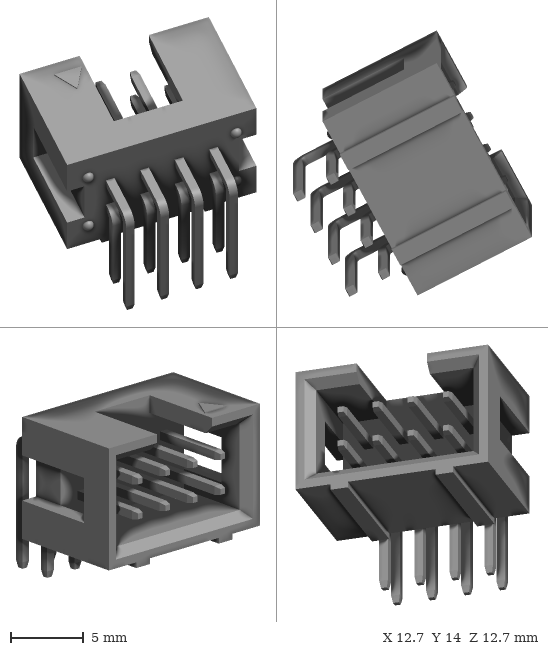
import cadquery as cq
import math


housing_length = 8.87
housing_width = 13.97
housing_height = 8.87
mid_height = housing_height / 2
wall = 1.29
cavity_depth = 6.37
lip_chamfer = 0.64
cavity_width = housing_width - 2 * wall
cavity_height = housing_height - 2 * wall

key_width = 5.1
side_slot_start = 2.53
side_slot_height = 3.28

foot_width = 1.26
foot_height = 0.42
nub_radius = 0.4
nub_offset_y = 5.46
mark_side = 2.03
mark_start = 1.0
mark_thickness = 0.1

pitch = 2.54
pins_per_row = 4
pin_size = 0.63
tip_size = 0.42
tip_length = 0.52
pin_front = 0.28
pin_bottom = -3.7
bend_outer_radius = 0.91
bend_inner_radius = bend_outer_radius - pin_size
long_leg_x = 12.65 - pin_size / 2
short_leg_x = long_leg_x - pitch

pin_columns = [(i - (pins_per_row - 1) / 2) * pitch for i in range(pins_per_row)]
pin_rows = [
    (mid_height + pitch / 2, long_leg_x),
    (mid_height - pitch / 2, short_leg_x),
]


def block(x_range, y_range, z_range):
    """Box spanning the given (low, high) ranges."""
    (x0, x1), (y0, y1), (z0, z1) = x_range, y_range, z_range
    return cq.Workplane("XY").box(x1 - x0, y1 - y0, z1 - z0, centered=False).translate((x0, y0, z0))


def make_cavity():
    """Mating cavity with a sloped lead-in all round its mouth."""
    straight = block(
        (0, cavity_depth),
        (-cavity_width / 2, cavity_width / 2),
        (wall, housing_height - wall),
    )
    lead_in = (
        cq.Workplane("YZ", origin=(0, 0, mid_height))
        .rect(cavity_width + 2 * lip_chamfer, cavity_height + 2 * lip_chamfer)
        .workplane(offset=lip_chamfer)
        .rect(cavity_width, cavity_height)
        .loft(ruled=True)
    )
    return straight.union(lead_in)


def make_key_slot():
    """Keying slot through the top wall, open at the mating face and down into the cavity."""
    return block(
        (0, cavity_depth),
        (-key_width / 2, key_width / 2),
        (mid_height, housing_height),
    )


def make_side_slot(y_low):
    """Slot through one side wall, running out of the back of the housing."""
    return block(
        (side_slot_start, housing_length),
        (y_low, y_low + wall),
        (mid_height - side_slot_height / 2, mid_height + side_slot_height / 2),
    )


def make_foot(y_center):
    """Standoff rail along the underside."""
    return block(
        (0, housing_length),
        (y_center - foot_width / 2, y_center + foot_width / 2),
        (-foot_height, 0),
    )


def make_nub(y_center, z_center):
    """Ball sunk halfway into the back face, leaving a dome."""
    return cq.Workplane("XY").sphere(nub_radius).translate((housing_length, y_center, z_center))


def make_pin_one_mark():
    """Raised equilateral triangle next to the first pin, pointing away from the mating face."""
    tip_x = mark_start + mark_side * math.sqrt(3) / 2
    y_center = pin_columns[0]
    return (
        cq.Workplane("XY", origin=(0, 0, housing_height))
        .moveTo(mark_start, y_center - mark_side / 2)
        .lineTo(tip_x, y_center)
        .lineTo(mark_start, y_center + mark_side / 2)
        .close()
        .extrude(mark_thickness)
    )


def make_pin_hole(y_center, z_center):
    """Square hole through the housing back wall that a pin fills."""
    return block(
        (cavity_depth, housing_length),
        (y_center - pin_size / 2, y_center + pin_size / 2),
        (z_center - pin_size / 2, z_center + pin_size / 2),
    )


def make_housing():
    body = block(
        (0, housing_length),
        (-housing_width / 2, housing_width / 2),
        (0, housing_height),
    )
    body = body.cut(make_cavity()).cut(make_key_slot())
    for y_low in (-housing_width / 2, housing_width / 2 - wall):
        body = body.cut(make_side_slot(y_low))
    for y_center in (pin_columns[0], pin_columns[-1]):
        body = body.union(make_foot(y_center))
    for y_center in (-nub_offset_y, nub_offset_y):
        for z_center in (mid_height - pitch, mid_height + pitch):
            body = body.union(make_nub(y_center, z_center))
    body = body.union(make_pin_one_mark())
    for row_z, _ in pin_rows:
        for y_center in pin_columns:
            body = body.cut(make_pin_hole(y_center, row_z))
    return body


def make_pin_tip(base_plane):
    """Tapered tip growing from a square pin end."""
    return (
        cq.Workplane(base_plane)
        .rect(pin_size, pin_size)
        .workplane(offset=tip_length)
        .rect(tip_size, tip_size)
        .loft(ruled=True)
    )


def make_pin(y_center, row_z, leg_x):
    """Square pin running back along X, then bent down into a leg, with both ends tapered."""
    half = pin_size / 2
    front_x = pin_front + tip_length
    leg_end_z = pin_bottom + tip_length
    bend_x = leg_x + half - bend_outer_radius
    bend_z = row_z + half - bend_outer_radius
    diagonal = math.sqrt(0.5)
    bar = (
        cq.Workplane("XZ", origin=(0, y_center + half, 0))
        .moveTo(front_x, row_z + half)
        .lineTo(bend_x, row_z + half)
        .threePointArc(
            (bend_x + bend_outer_radius * diagonal, bend_z + bend_outer_radius * diagonal),
            (leg_x + half, bend_z),
        )
        .lineTo(leg_x + half, leg_end_z)
        .lineTo(leg_x - half, leg_end_z)
        .lineTo(leg_x - half, bend_z)
        .threePointArc(
            (bend_x + bend_inner_radius * diagonal, bend_z + bend_inner_radius * diagonal),
            (bend_x, row_z - half),
        )
        .lineTo(front_x, row_z - half)
        .close()
        .extrude(pin_size)
    )
    front_plane = cq.Plane(origin=(front_x, y_center, row_z), xDir=(0, 1, 0), normal=(-1, 0, 0))
    leg_plane = cq.Plane(origin=(leg_x, y_center, leg_end_z), xDir=(1, 0, 0), normal=(0, 0, -1))
    return bar.union(make_pin_tip(front_plane)).union(make_pin_tip(leg_plane))


housing = make_housing()
pins = [make_pin(y_center, row_z, leg_x) for row_z, leg_x in pin_rows for y_center in pin_columns]

result = cq.Compound.makeCompound([housing.solids().val(), *[pin.solids().val() for pin in pins]])